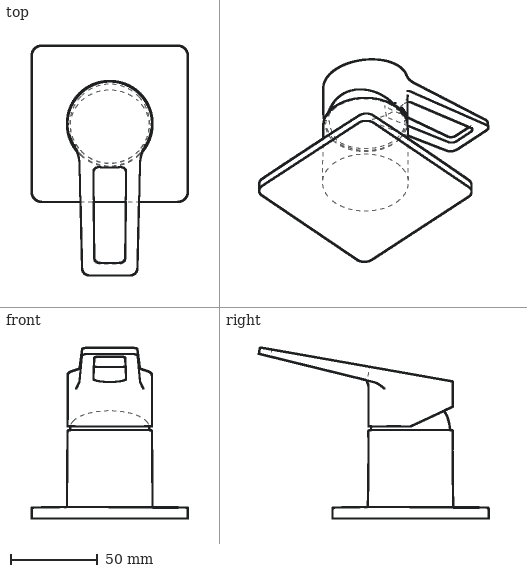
import cadquery as cq
import math

PLATE_SIDE = 90.0
PLATE_CORNER_RADIUS = 6.0
PLATE_CROWN_HEIGHT = 6.9
PLATE_CROWN_RADIUS = 2270.0
CROWN_BAND_ANGLE = 10.0
PLATE_EDGE_FILLET = 1.0

BODY_BASE_RADIUS = 24.75
BODY_TOP_RADIUS = 24.35
BODY_TOP = 50.9
BODY_RIM_FILLET = 1.0

BALL_RADIUS = 22.9
BALL_CENTRE_HEIGHT = 50.0

CAP_RADIUS = 24.3
CAP_BOTTOM = 53.0
CAP_RIM_FILLET = 0.4
CAP_TOP_AT_AXIS = 83.25
TOP_SLOPE = math.radians(10.0)
RELIEF_SLOPE = math.radians(25.0)

LEVER_TIP_Y = -86.66
LEVER_TIP_HALF_WIDTH = 15.9
LEVER_ROOT_HALF_WIDTH = 17.4
LEVER_TIP_CORNER_RADIUS = 4.5
LEVER_BLEND_RADIUS = 18.5
UNDERSIDE_TIP_Z = 94.6
UNDERSIDE_SLOPE = math.radians(13.8)
UNDERSIDE_FILLET = 4.0
LEVER_EDGE_FILLET = 0.8
TIP_FACE_MARGIN = 2.0
TIP_FACE_TOP_GAP = 1.0
TIP_FACE_BOTTOM_GAP = 4.0

WINDOW_BACK_Y = -23.5
WINDOW_FRONT_Y = -79.8
WINDOW_BACK_HALF_WIDTH = 9.4
WINDOW_FRONT_HALF_WIDTH = 8.8
WINDOW_CORNER_RADIUS = 3.0
WINDOW_DEPTH = 14.0

REACH = 110.0

TOP_NORMAL = cq.Vector(0, math.sin(TOP_SLOPE), math.cos(TOP_SLOPE))


def top_z(y):
    return CAP_TOP_AT_AXIS - y * math.tan(TOP_SLOPE)


def underside_z(y):
    return UNDERSIDE_TIP_Z - (y - LEVER_TIP_Y) * math.tan(UNDERSIDE_SLOPE)


def yz_prism(points, half_width):
    return cq.Workplane("YZ").polyline(points).close().extrude(half_width, both=True)


def make_plate():
    blank = (
        cq.Workplane("XY")
        .rect(PLATE_SIDE, PLATE_SIDE)
        .extrude(PLATE_CROWN_HEIGHT)
        .edges("|Z")
        .fillet(PLATE_CORNER_RADIUS)
    )
    crown = (
        cq.Workplane("XY")
        .sphere(
            PLATE_CROWN_RADIUS,
            direct=(0, 1, 0),
            angle1=-CROWN_BAND_ANGLE,
            angle2=CROWN_BAND_ANGLE,
        )
        .translate((0, 0, PLATE_CROWN_HEIGHT - PLATE_CROWN_RADIUS))
    )
    return blank.intersect(crown).faces(">Z").edges().fillet(PLATE_EDGE_FILLET)


def make_body():
    return (
        cq.Workplane("XZ")
        .polyline([(0, 0), (BODY_BASE_RADIUS, 0), (BODY_TOP_RADIUS, BODY_TOP), (0, BODY_TOP)])
        .close()
        .revolve(360, (0, 0), (0, 1))
        .faces(">Z")
        .edges()
        .fillet(BODY_RIM_FILLET)
    )


def make_ball():
    return cq.Workplane("XY", origin=(0, 0, BALL_CENTRE_HEIGHT)).sphere(BALL_RADIUS)


def below_top_plane():
    """Everything under the sloped top and behind the tip face, which is square to that slope."""
    tip_drop = top_z(LEVER_TIP_Y) - CAP_BOTTOM
    return yz_prism(
        [
            (LEVER_TIP_Y, top_z(LEVER_TIP_Y)),
            (LEVER_TIP_Y - tip_drop * math.tan(TOP_SLOPE), CAP_BOTTOM),
            (REACH, CAP_BOTTOM),
            (REACH, top_z(REACH)),
        ],
        REACH,
    )


def make_cap():
    relief_rise = REACH * math.tan(RELIEF_SLOPE)
    relief = yz_prism(
        [(0, CAP_BOTTOM), (REACH, CAP_BOTTOM), (REACH, CAP_BOTTOM + relief_rise)],
        REACH,
    )
    return (
        cq.Workplane("XY", origin=(0, 0, CAP_BOTTOM))
        .circle(CAP_RADIUS)
        .extrude(REACH)
        .cut(relief)
        .edges("(%CIRCLE or %ELLIPSE) and (not >Z)")
        .fillet(CAP_RIM_FILLET)
    )


def make_coved_overhang():
    """Round core joined by a cove to a wide overhang that carries the lever underside."""
    core = cq.Workplane("XY", origin=(0, 0, CAP_BOTTOM)).circle(CAP_RADIUS).extrude(REACH)
    overhang = yz_prism(
        [
            (-REACH, underside_z(-REACH)),
            (REACH / 2, underside_z(REACH / 2)),
            (REACH / 2, CAP_BOTTOM + REACH),
            (-REACH, CAP_BOTTOM + REACH),
        ],
        REACH / 2,
    )
    return core.union(overhang).edges("%ELLIPSE").fillet(UNDERSIDE_FILLET)


def make_lever_plan():
    """Plan outline of the lever with its blends into the cap, carried upright."""
    blend_x = LEVER_ROOT_HALF_WIDTH + LEVER_BLEND_RADIUS
    blend_distance = CAP_RADIUS + LEVER_BLEND_RADIUS
    blend_y = -math.sqrt(blend_distance**2 - blend_x**2)
    cap_x = blend_x * CAP_RADIUS / blend_distance
    cap_y = blend_y * CAP_RADIUS / blend_distance
    middle_angle = (math.pi + math.atan2(-blend_y, -blend_x)) / 2
    middle_x = blend_x + LEVER_BLEND_RADIUS * math.cos(middle_angle)
    middle_y = blend_y + LEVER_BLEND_RADIUS * math.sin(middle_angle)
    side_slope = (LEVER_ROOT_HALF_WIDTH - LEVER_TIP_HALF_WIDTH) / (blend_y - LEVER_TIP_Y)
    end_half_width = LEVER_ROOT_HALF_WIDTH - side_slope * (blend_y + REACH)
    return (
        cq.Workplane("XY")
        .moveTo(-cap_x, cap_y)
        .threePointArc((-middle_x, middle_y), (-LEVER_ROOT_HALF_WIDTH, blend_y))
        .lineTo(-end_half_width, -REACH)
        .lineTo(end_half_width, -REACH)
        .lineTo(LEVER_ROOT_HALF_WIDTH, blend_y)
        .threePointArc((middle_x, middle_y), (cap_x, cap_y))
        .close()
        .extrude(CAP_BOTTOM + REACH)
    )


def make_window():
    """Tapered window cutter, square to the sloped top."""
    top_plane = cq.Plane(
        origin=(0, 0, CAP_TOP_AT_AXIS),
        xDir=(1, 0, 0),
        normal=TOP_NORMAL.toTuple(),
    )
    back = WINDOW_BACK_Y / math.cos(TOP_SLOPE)
    front = WINDOW_FRONT_Y / math.cos(TOP_SLOPE)
    return (
        cq.Workplane(top_plane)
        .polyline(
            [
                (-WINDOW_BACK_HALF_WIDTH, back),
                (WINDOW_BACK_HALF_WIDTH, back),
                (WINDOW_FRONT_HALF_WIDTH, front),
                (-WINDOW_FRONT_HALF_WIDTH, front),
            ]
        )
        .close()
        .extrude(-WINDOW_DEPTH)
        .edges(cq.selectors.ParallelDirSelector(TOP_NORMAL))
        .fillet(WINDOW_CORNER_RADIUS)
    )


def make_handle():
    lever = make_coved_overhang().intersect(make_lever_plan())
    blank = make_cap().union(lever).intersect(below_top_plane())
    tip_top = top_z(LEVER_TIP_Y)
    tip_corners = cq.selectors.BoxSelector(
        (-LEVER_ROOT_HALF_WIDTH, LEVER_TIP_Y - TIP_FACE_MARGIN, tip_top - TIP_FACE_BOTTOM_GAP),
        (LEVER_ROOT_HALF_WIDTH, LEVER_TIP_Y + TIP_FACE_MARGIN, tip_top - TIP_FACE_TOP_GAP),
    )
    blank = blank.edges(tip_corners).edges("not |X").fillet(LEVER_TIP_CORNER_RADIUS)
    return (
        blank.cut(make_window())
        .faces(cq.selectors.DirectionMinMaxSelector(TOP_NORMAL, True))
        .edges()
        .fillet(LEVER_EDGE_FILLET)
    )


result = make_plate().union(make_body()).union(make_ball()).union(make_handle())